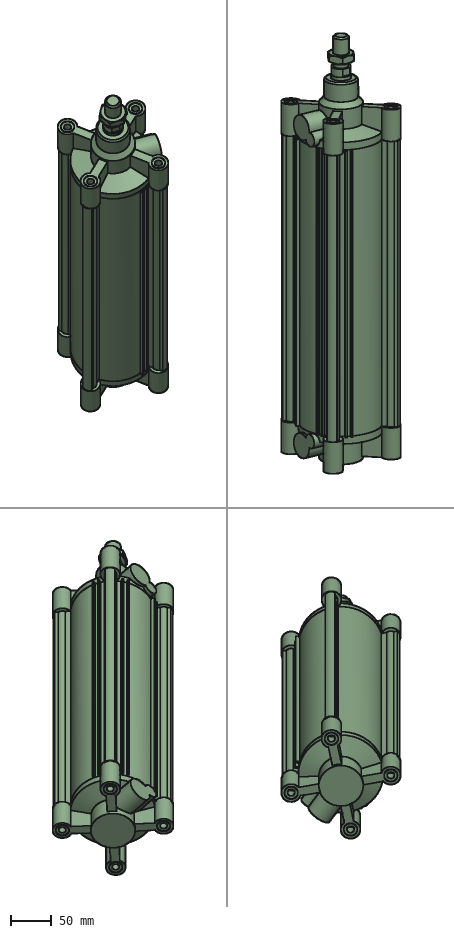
import cadquery as cq
import math

TOTAL_LENGTH = 553.0
PILOT_HEIGHT = 4.5
CAP_HEIGHT = 41.5
FRONT_CAP_TOP = 463.0
REAR_CAP_TOP = PILOT_HEIGHT + CAP_HEIGHT
FRONT_CAP_BOTTOM = FRONT_CAP_TOP - CAP_HEIGHT
BARREL_LENGTH = FRONT_CAP_BOTTOM - REAR_CAP_TOP

OVERALL_WIDTH = 113.0
COLUMN_DIAMETER = 24.5
COLUMN_OFFSET = (OVERALL_WIDTH - COLUMN_DIAMETER) / 2
COLUMN_RADIUS_FROM_AXIS = COLUMN_OFFSET * math.sqrt(2)
CORNER_ANGLES = [45, 135, 225, 315]

BODY_DIAMETER = 105.0
CAP_RIM_HEIGHT = 10.0
CAP_CONE_HEIGHT = 8.5
PILOT_DIAMETER = 55.0
ARM_WIDTH = 11.5
SCREW_RECESS_DIAMETER = 16.5
SCREW_RECESS_DEPTH = 1.0
SCREW_HOLE_DIAMETER = 9.0
SCREW_HOLE_DEPTH = 16.5

BOSS_FACE = OVERALL_WIDTH / 2
PORT_BOSS_DIAMETER = 32.0
PORT_BOSS_X = 5.5
PORT_BOSS_DEPTH = CAP_HEIGHT / 2
SCREW_BOSS_DIAMETER = 18.0
SCREW_BOSS_X = -12.0
SCREW_BOSS_DEPTH = 31.5

GUIDE_DIAMETER = 42.0
GUIDE_TOP = 497.5
GUIDE_CHAMFER = 2.0
SHOULDER_BOTTOM = 465.5
SHOULDER_TOP = 473.0

WEB_WIDTH = 13.0
RIB_DIAMETER = 15.5
RIB_PAD_WIDTH = 12.0
RIB_PAD_DIAMETER = 20.0
RIB_PAD_SHIFT = 1.4

RAIL_ANGLE_FROM_AXIS = 26.0
RAIL_RADIUS = 57.0
RAIL_FIN_THICKNESS = 2.0
RAIL_FIN_SPACING = 7.0

ROD_DIAMETER = 25.0
ROD_STEP = 502.0
ROD_END_DIAMETER = 24.5
ROD_FLAT_WIDTH = 22.0
ROD_FLAT_BOTTOM = 503.0
ROD_SHOULDER = 512.5
NECK_DIAMETER = 18.0
THREAD_DIAMETER = 20.0
THREAD_BOTTOM = 517.5
THREAD_CHAMFER = 2.0

NUT_WIDTH = 31.0
NUT_HEIGHT = 10.0
NUT_BOTTOM = 520.5
NUT_EDGE_HEIGHT = 1.5


def cylinder(diameter, bottom, top):
    return cq.Workplane("XY").workplane(offset=bottom).circle(diameter / 2).extrude(top - bottom)


def corner_points():
    return [(sx * COLUMN_OFFSET, sy * COLUMN_OFFSET) for sx in (-1, 1) for sy in (-1, 1)]


def radial_bar(angle, length, width, height):
    """Upright bar from the axis outwards, standing on Z = 0."""
    bar = cq.Workplane("XY").box(length, width, height, centered=(False, True, False))
    return bar.rotate((0, 0, 0), (0, 0, 1), angle)


def boss(diameter, x, z):
    """Round boss from the middle of the cap to the +Y face."""
    return cq.Workplane("XZ").center(x, z).circle(diameter / 2).extrude(-BOSS_FACE)


def end_cap(pilot_height):
    """Cap with its barrel face on Z = 0 and its pilot standing above Z = CAP_HEIGHT."""
    cone_top = CAP_RIM_HEIGHT + CAP_CONE_HEIGHT
    core_profile = [
        (0, 0),
        (BODY_DIAMETER / 2, 0),
        (BODY_DIAMETER / 2, CAP_RIM_HEIGHT),
        (PILOT_DIAMETER / 2, cone_top),
        (PILOT_DIAMETER / 2, CAP_HEIGHT + pilot_height),
        (0, CAP_HEIGHT + pilot_height),
    ]
    cap = cq.Workplane("XZ").polyline(core_profile).close().revolve(360, (0, 0), (0, 1))
    for angle in CORNER_ANGLES:
        cap = cap.union(radial_bar(angle, COLUMN_RADIUS_FROM_AXIS, ARM_WIDTH, CAP_HEIGHT))
    columns = cq.Workplane("XY").pushPoints(corner_points()).circle(COLUMN_DIAMETER / 2)
    cap = cap.union(columns.extrude(CAP_HEIGHT))
    cap = cap.union(boss(PORT_BOSS_DIAMETER, PORT_BOSS_X, CAP_HEIGHT - PORT_BOSS_DEPTH))
    cap = cap.union(boss(SCREW_BOSS_DIAMETER, SCREW_BOSS_X, CAP_HEIGHT - SCREW_BOSS_DEPTH))
    return (
        cap.faces(">Z")
        .workplane(offset=-pilot_height, origin=(0, 0, 0))
        .pushPoints(corner_points())
        .cboreHole(SCREW_HOLE_DIAMETER, SCREW_RECESS_DIAMETER, SCREW_RECESS_DEPTH, SCREW_HOLE_DEPTH)
    )


def rear_cap():
    return end_cap(PILOT_HEIGHT).mirror("XY").translate((0, 0, REAR_CAP_TOP))


def front_cap():
    cap = end_cap(SHOULDER_BOTTOM - FRONT_CAP_TOP).translate((0, 0, FRONT_CAP_BOTTOM))
    guide_profile = [
        (0, SHOULDER_BOTTOM),
        (PILOT_DIAMETER / 2, SHOULDER_BOTTOM),
        (GUIDE_DIAMETER / 2, SHOULDER_TOP),
        (GUIDE_DIAMETER / 2, GUIDE_TOP - GUIDE_CHAMFER),
        (GUIDE_DIAMETER / 2 - GUIDE_CHAMFER, GUIDE_TOP),
        (0, GUIDE_TOP),
    ]
    guide = cq.Workplane("XZ").polyline(guide_profile).close().revolve(360, (0, 0), (0, 1))
    rod_hole = cylinder(ROD_DIAMETER, FRONT_CAP_BOTTOM, GUIDE_TOP)
    return cap.union(guide).cut(rod_hole)


def tie_rib(angle):
    """Web with a round rib at its end and a raised pad on the outward side of the rib."""
    web = radial_bar(0, COLUMN_RADIUS_FROM_AXIS, WEB_WIDTH, BARREL_LENGTH)
    rib = cylinder(RIB_DIAMETER, 0, BARREL_LENGTH).translate((COLUMN_RADIUS_FROM_AXIS, 0, 0))
    pad_strip = radial_bar(0, RIB_PAD_DIAMETER, RIB_PAD_WIDTH, BARREL_LENGTH)
    pad = cylinder(RIB_PAD_DIAMETER, 0, BARREL_LENGTH).intersect(pad_strip)
    pad = pad.translate((COLUMN_RADIUS_FROM_AXIS + RIB_PAD_SHIFT, 0, 0))
    return web.union(rib).union(pad).rotate((0, 0, 0), (0, 0, 1), angle)


def sensor_rail(angle):
    """Pair of parallel fins that leave a sensor slot between them."""
    fins = cq.Workplane("XY")
    for side in (-1, 1):
        fin = radial_bar(0, RAIL_RADIUS, RAIL_FIN_THICKNESS, BARREL_LENGTH)
        fins = fins.union(fin.translate((0, side * RAIL_FIN_SPACING / 2, 0)))
    return fins.rotate((0, 0, 0), (0, 0, 1), angle)


def barrel():
    body = cylinder(BODY_DIAMETER, 0, BARREL_LENGTH)
    for angle in CORNER_ANGLES:
        body = body.union(tie_rib(angle))
    for offset in (RAIL_ANGLE_FROM_AXIS, 90 - RAIL_ANGLE_FROM_AXIS):
        for angle in (offset, 180 - offset):
            body = body.union(sensor_rail(angle))
    return body.translate((0, 0, REAR_CAP_TOP))


def piston_rod():
    shank = cylinder(ROD_DIAMETER, FRONT_CAP_BOTTOM, ROD_STEP)
    shank = shank.union(cylinder(ROD_END_DIAMETER, ROD_STEP, ROD_SHOULDER))
    for side in (-1, 1):
        flat = radial_bar(90 - side * 90, ROD_DIAMETER, ROD_DIAMETER, ROD_SHOULDER - ROD_FLAT_BOTTOM)
        shank = shank.cut(flat.translate((side * ROD_FLAT_WIDTH / 2, 0, ROD_FLAT_BOTTOM)))
    neck = cylinder(NECK_DIAMETER, ROD_SHOULDER, THREAD_BOTTOM)
    thread = cylinder(THREAD_DIAMETER, THREAD_BOTTOM, TOTAL_LENGTH).faces(">Z").chamfer(THREAD_CHAMFER)
    return shank.union(neck).union(thread)


def lock_nut():
    """Hexagon nut with its corners chamfered by a turned blank."""
    across_corners = NUT_WIDTH / math.cos(math.pi / 6)
    nut = (
        cq.Workplane("XY")
        .workplane(offset=NUT_BOTTOM)
        .transformed(rotate=(0, 0, 30))
        .polygon(6, across_corners)
        .extrude(NUT_HEIGHT)
    )
    blank_profile = [
        (0, NUT_BOTTOM),
        (NUT_WIDTH / 2, NUT_BOTTOM),
        (across_corners / 2, NUT_BOTTOM + NUT_EDGE_HEIGHT),
        (across_corners / 2, NUT_BOTTOM + NUT_HEIGHT - NUT_EDGE_HEIGHT),
        (NUT_WIDTH / 2, NUT_BOTTOM + NUT_HEIGHT),
        (0, NUT_BOTTOM + NUT_HEIGHT),
    ]
    turned_blank = cq.Workplane("XZ").polyline(blank_profile).close().revolve(360, (0, 0), (0, 1))
    thread_hole = cylinder(THREAD_DIAMETER, NUT_BOTTOM, NUT_BOTTOM + NUT_HEIGHT)
    return nut.intersect(turned_blank).cut(thread_hole)


result = cq.Compound.makeCompound(
    [rear_cap().val(), barrel().val(), front_cap().val(), piston_rod().val(), lock_nut().val()]
)